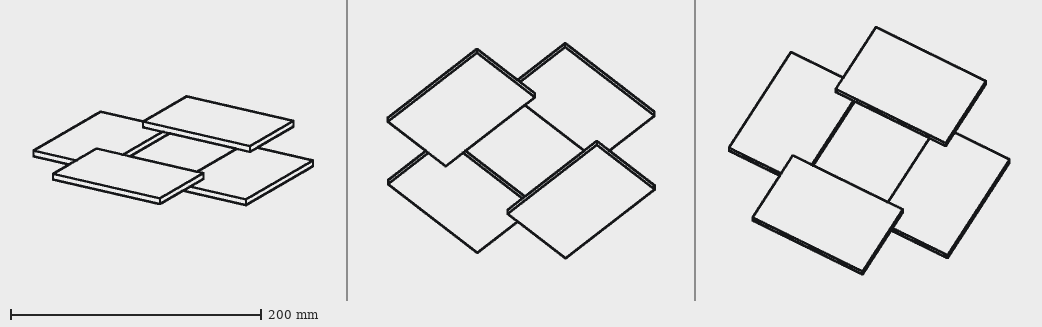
import cadquery as cq

overall_span = 200.7
plate_length = 101.0
plate_width = 65.5
plate_thickness = 5.0
layer_gap = 2.0

center_offset = (overall_span - plate_width) / 2
upper_layer_bottom = plate_thickness + layer_gap


def make_plate(size_x, size_y, center_x, center_y, bottom_z):
    """Flat rectangular plate, located by the centre of its bottom face."""
    plate = cq.Workplane("XY").box(size_x, size_y, plate_thickness, centered=(True, True, False))
    return plate.translate((center_x, center_y, bottom_z))


lower_plates = []
upper_plates = []
for side in (-1, 1):
    lower_plate = make_plate(plate_width, plate_length, side * center_offset, 0, 0)
    lower_plates.append(lower_plate.val())
    upper_plate = make_plate(plate_length, plate_width, 0, side * center_offset, upper_layer_bottom)
    upper_plates.append(upper_plate.val())

result = cq.Compound.makeCompound([*lower_plates, *upper_plates])